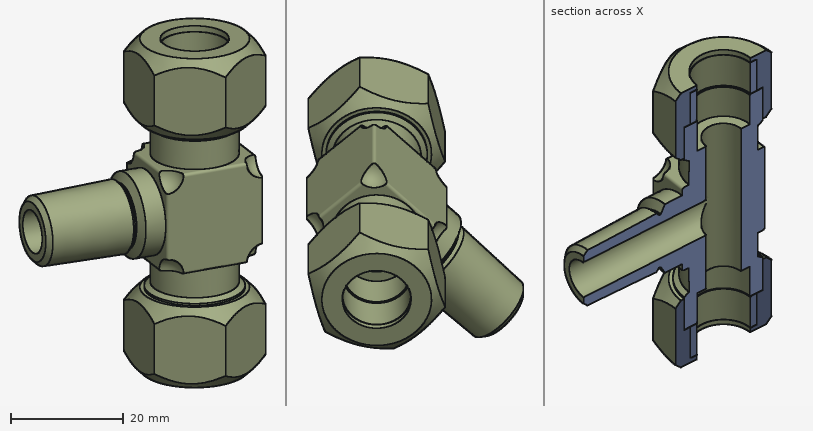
import cadquery as cq
import math


half_length = 31.5
stud_length = 32.0
bore_radius = 4.0
boss_radius = 7.95
ends = (1, -1)

block_x = 17.0
block_y = 19.0
block_z = 19.15
block_edge_round = 0.55
corner_scallop_radius = 3.3

thread_radius = 9.0
thread_start = 15.7
thread_runout = 0.7
body_end = 23.3
seat_radius = 6.0
seat_bottom = 16.4
mouth_height = 0.25
mouth_angle = math.radians(30)
mouth_radius = seat_radius + mouth_height * math.tan(mouth_angle)

boss_end = 13.4
groove_start = 14.35
groove_end = 14.7
groove_radius = 6.1
stud_root = 15.3
stud_root_radius = 6.8
stud_tip_radius = 6.4
stud_tip_chamfer = 0.95

nut_across_flats = 22.0
nut_across_corners = nut_across_flats / math.cos(math.radians(30))
nut_height = 15.45
nut_face_radius = 9.75
nut_lip = 1.15
nut_hole_radius = 6.1
nut_start = half_length - nut_height

ring_bore_radius = 6.05
ring_outer_radius = 7.5
ring_top = half_length - nut_lip


def run_cylinder(radius, bottom, top):
    """Cylinder on the Z axis between two heights."""
    return cq.Workplane("XY").workplane(offset=bottom).circle(radius).extrude(top - bottom)


def to_end(upper_part, end):
    """Place a part made for the upper end at the given end of the run."""
    return upper_part if end > 0 else upper_part.mirror("XY")


def make_block():
    """Block with rounded edges and a spherical scallop at each corner."""
    sharp_block = cq.Workplane("XY").box(block_x, block_y, block_z)
    block = sharp_block.edges().fillet(block_edge_round)
    for corner in sharp_block.vertices().vals():
        outward = math.degrees(math.atan2(corner.Y, corner.X))
        ball = cq.Workplane("XY").sphere(corner_scallop_radius)
        scallop = ball.rotate((0, 0, 0), (0, 0, 1), outward).translate(corner.toTuple())
        block = block.cut(scallop)
    return block


def make_run_neck():
    """Upper neck and thread of the run, as a turned shape about Z."""
    return (
        cq.Workplane("XZ")
        .lineTo(boss_radius, 0)
        .lineTo(boss_radius, thread_start - thread_runout)
        .lineTo(thread_radius, thread_start)
        .lineTo(thread_radius, body_end)
        .lineTo(0, body_end)
        .close()
        .revolve(360, (0, 0, 0), (0, 1, 0))
    )


def make_tube_seat():
    """Upper tube socket with a flared mouth, as a solid to cut away."""
    return (
        cq.Workplane("XZ")
        .moveTo(0, seat_bottom)
        .lineTo(seat_radius, seat_bottom)
        .lineTo(seat_radius, body_end - mouth_height)
        .lineTo(mouth_radius, body_end)
        .lineTo(0, body_end)
        .close()
        .revolve(360, (0, 0, 0), (0, 1, 0))
    )


def make_stud():
    """Branch boss, groove and tapered stud, as a turned shape about Y."""
    return (
        cq.Workplane("XY")
        .lineTo(boss_radius, 0)
        .lineTo(boss_radius, -boss_end)
        .lineTo(groove_radius, -groove_start)
        .lineTo(groove_radius, -groove_end)
        .lineTo(stud_root_radius, -stud_root)
        .lineTo(stud_tip_radius, stud_tip_chamfer - stud_length)
        .lineTo(stud_tip_radius - stud_tip_chamfer, -stud_length)
        .lineTo(0, -stud_length)
        .close()
        .revolve(360, (0, 0, 0), (0, 1, 0))
    )


def make_body():
    """Tee body: block, two run necks and the stud, bored through."""
    body = make_block().union(make_stud())
    for end in ends:
        body = body.union(to_end(make_run_neck(), end))
    for end in ends:
        body = body.cut(to_end(make_tube_seat(), end))
    branch_bore = cq.Workplane("XZ").circle(bore_radius).extrude(stud_length)
    return body.cut(run_cylinder(bore_radius, -body_end, body_end)).cut(branch_bore)


def make_nut_cone():
    """Turned blank whose 45 degree ends chamfer the hexagon corners."""
    corner_radius = nut_across_corners / 2
    chamfer = corner_radius - nut_face_radius
    return run_cylinder(corner_radius, nut_start, half_length).edges().chamfer(chamfer)


def make_nut(end):
    """Hexagon nut with a thread bore, a ring recess and a tube hole."""
    hexagon = (
        cq.Workplane("XY")
        .workplane(offset=nut_start)
        .polygon(6, nut_across_corners)
        .extrude(nut_height)
    )
    nut = (
        hexagon.intersect(make_nut_cone())
        .cut(run_cylinder(thread_radius, nut_start, body_end))
        .cut(run_cylinder(ring_outer_radius, body_end, ring_top))
        .cut(run_cylinder(nut_hole_radius, ring_top, half_length))
    )
    return to_end(nut, end)


def make_ring(end):
    """Plain ring held between the end of the body and the lip of the nut."""
    ring = run_cylinder(ring_outer_radius, body_end, ring_top)
    return to_end(ring.cut(run_cylinder(ring_bore_radius, body_end, ring_top)), end)


body = make_body()
nuts = [make_nut(end).val() for end in ends]
rings = [make_ring(end).val() for end in ends]

result = cq.Compound.makeCompound([body.val(), *nuts, *rings])